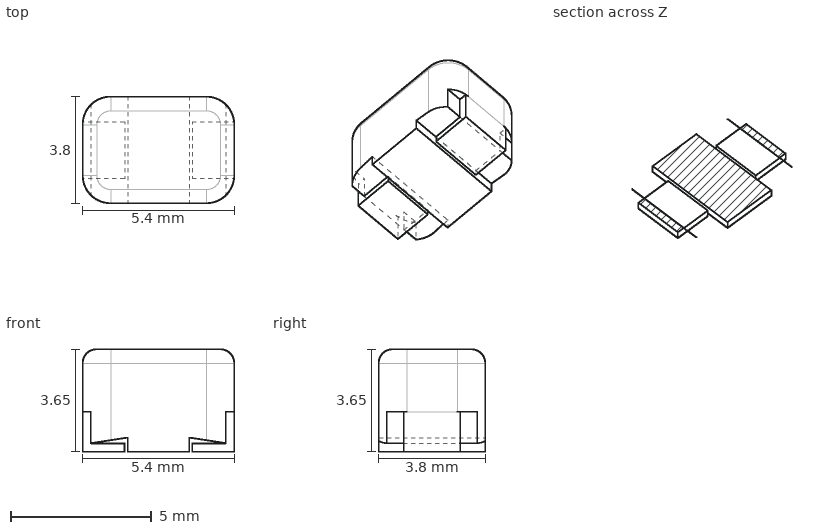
import cadquery as cq

length = 5.4
width = 3.8
height = 3.65
corner_radius = 1.0
top_radius = 0.5

foot_length = 2.2
foot_root_z = 0.5

terminal_thickness = 0.3
terminal_width = 2.01
terminal_height = 1.43
terminal_reach = 1.5

half_length = length / 2
half_foot = foot_length / 2
end_recess_x = half_length - terminal_thickness


def extrude_across_y(points, depth):
    """Close an XZ outline and extrude it symmetrically about y = 0."""
    return cq.Workplane("XZ").polyline(points).close().extrude(depth / 2, both=True)


def rounded_block():
    """Full-height block with rounded upright corners and a rounded top rim."""
    block = cq.Workplane("XY").box(length, width, height, centered=(True, True, False))
    return block.edges("|Z").fillet(corner_radius).faces(">Z").edges().fillet(top_radius)


def underside_cutter():
    """Removes the end recess and the sloped space under the +X half of the body."""
    outline = [
        (half_foot, 0),
        (half_foot, foot_root_z),
        (end_recess_x, terminal_thickness),
        (end_recess_x, terminal_height),
        (half_length, terminal_height),
        (half_length, 0),
    ]
    return extrude_across_y(outline, width)


def terminal():
    """L-shaped terminal at the +X end: upright leg in the recess, flat leg below."""
    inner_end_x = half_length - terminal_reach
    outline = [
        (inner_end_x, 0),
        (half_length, 0),
        (half_length, terminal_height),
        (end_recess_x, terminal_height),
        (end_recess_x, terminal_thickness),
        (inner_end_x, terminal_thickness),
    ]
    return extrude_across_y(outline, terminal_width)


def both_ends(shape):
    """The given +X end shape together with its mirror image at the -X end."""
    return [shape, shape.mirror("YZ")]


body = rounded_block()
for cutter in both_ends(underside_cutter()):
    body = body.cut(cutter)
for end_terminal in both_ends(terminal()):
    body = body.union(end_terminal, clean=False)

result = body